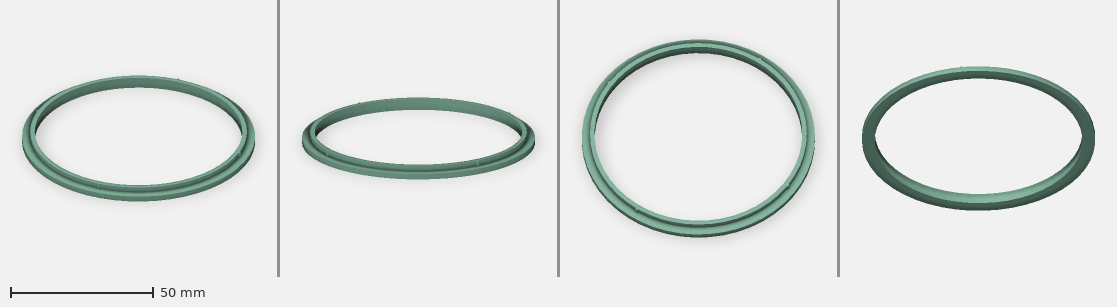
import cadquery as cq

flange_diameter = 82.0
rim_diameter = 76.3
bore_diameter = 73.1
total_height = 4.0
flange_height = total_height / 2
rim_height = total_height - flange_height

rib_diameter = 1.0
rib_count = 4
rib_start_angle = 45.0

def ring(outer_diameter, height):
    return cq.Workplane("XY").circle(outer_diameter / 2).circle(bore_diameter / 2).extrude(height)

def rim_ribs():
    return (
        cq.Workplane("XY")
        .polarArray(rim_diameter / 2, rib_start_angle, 360, rib_count)
        .circle(rib_diameter / 2)
        .extrude(rim_height)
    )

flange = ring(flange_diameter, flange_height)
rim = ring(rim_diameter, rim_height).union(rim_ribs())

result = flange.union(rim.translate((0, 0, flange_height)))